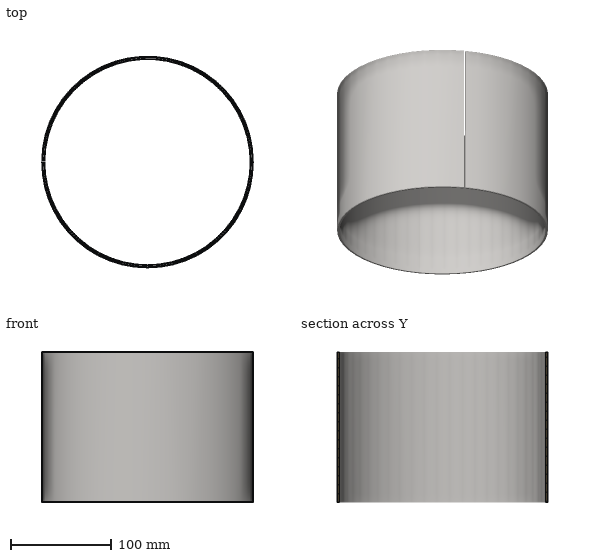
import math

import cadquery as cq

outer_diameter = 210.0
wall_thickness = 2.5
height = 150.0
outer_rim_chamfer = 0.5
inner_rim_chamfer = 0.2
slit_angle = 1.0

outer_radius = outer_diameter / 2
inner_radius = outer_radius - wall_thickness


def make_sleeve():
    """Full tube with bevelled outer and inner corners on both rims."""
    bore = cq.Workplane("XY").circle(inner_radius).extrude(height)
    tube = cq.Workplane("XY").circle(outer_radius).extrude(height)
    tube = tube.faces("|Z").edges().chamfer(outer_rim_chamfer).cut(bore)
    bore_rims = tube.faces("|Z").edges(cq.selectors.RadiusNthSelector(0))
    return bore_rims.chamfer(inner_rim_chamfer)


def make_slit():
    """Full-height wedge with its tip on the Z axis, one side on the XZ plane."""
    wedge_length = outer_diameter
    wedge_width = wedge_length * math.tan(math.radians(slit_angle))
    return (
        cq.Workplane("XY")
        .polyline([(0, 0), (-wedge_length, 0), (-wedge_length, wedge_width)])
        .close()
        .extrude(height)
    )


result = make_sleeve().cut(make_slit())